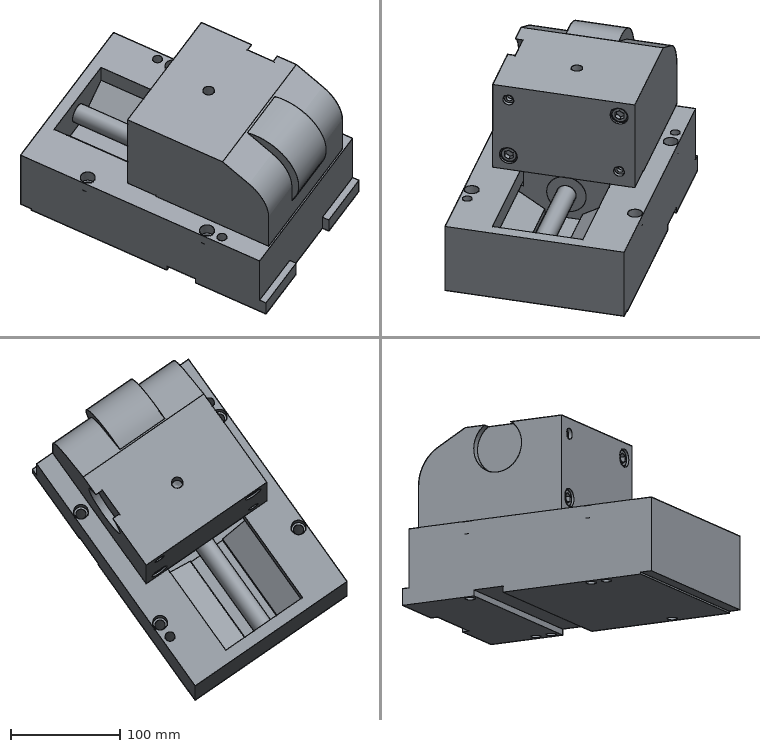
import cadquery as cq
import math


total_length = 260.0
total_width = 170.0
total_height = 165.0

base_length = 253.2
base_height = 71.5
end_wall = 11.2
flange_height = 15.9
flange_gap_width = 59.8
front_relief_height = 1.8
key_slot_start = 155.0
key_slot_length = 30.2
key_slot_height = 5.7

pocket_width = 85.8
ledge_z = 53.3
slope_bottom_z = 38.0
gutter_z = 32.0
gutter_width = 36.0
channel_width = 114.5
channel_floor_z = 13.0

mount_y = 77.5
bolt_offset_x = 63.2
bolt_hole_diameter = 9.4
bolt_head_diameter = 13.5
bolt_head_depth = 11.7
dowel_offset_x = 79.0
dowel_diameter = 8.8

jaw_start = 103.2
jaw_end = 252.7
jaw_width = 135.0
jaw_bottom_z = 74.0
jaw_slope_start = 203.8
jaw_slope_angle = 28.0
jaw_corner_radius = 39.0
front_lip_z = 75.1

side_recess_x = 170.0
side_recess_radius = 25.0
side_recess_depth = 7.3
side_recess_top_opening = 27.0

nose_radius = 45.0
nose_width = 50.2

slide_start = 112.8
slide_end = 241.3
slide_neck_start = 133.0
slide_front_width = 81.6
slide_neck_width = 83.7
slide_front_top_z = 73.3

top_hole_x = 150.0
top_hole_diameter = 10.5
top_hole_depth = 15.5
drill_point_angle = 118.0

face_hole_y = 52.5
face_hole_low_z = 90.2
face_hole_high_z = 150.5
screw_bore_diameter = 17.0
screw_bore_depth = 2.5
screw_head_depth = 1.5
screw_head_top_diameter = 14.0
screw_hex_flats = 8.3
screw_hex_depth = 6.5
pin_bore_diameter = 10.1
pin_bore_depth = 3.6
pin_hole_diameter = 6.0
pin_hole_depth = 7.8

spindle_z = 51.0
spindle_diameter = 18.5
collar_diameter = 37.5


def box(x_start, x_end, width, z_start, z_end):
    """Box centred on Y = 0."""
    size = (x_end - x_start, width, z_end - z_start)
    return cq.Workplane("XY").box(*size, centered=(False, True, False)).translate((x_start, 0, z_start))


def rod_along_x(x_start, x_end, diameter):
    """Cylinder on the spindle axis."""
    plane = cq.Workplane("YZ", origin=(x_start, 0, spindle_z))
    return plane.circle(diameter / 2).extrude(x_end - x_start)


def drilled_hole(diameter, depth):
    """Cutter for a hole with a conical end, entering along +X from the origin."""
    radius = diameter / 2
    tip_length = radius / math.tan(math.radians(drill_point_angle / 2))
    outline = [(0, 0), (0, radius), (depth, radius), (depth + tip_length, 0)]
    return cq.Workplane("XY").polyline(outline).close().revolve(360, (0, 0, 0), (1, 0, 0))


def pocket_cutter():
    """Open pocket with sloping sides that lead down to a flat gutter."""
    half_top = pocket_width / 2
    half_gutter = gutter_width / 2
    outline = [
        (-half_top, base_height),
        (-half_top, ledge_z),
        (-half_gutter, slope_bottom_z),
        (-half_gutter, gutter_z),
        (half_gutter, gutter_z),
        (half_gutter, slope_bottom_z),
        (half_top, ledge_z),
        (half_top, base_height),
    ]
    plane = cq.Workplane("YZ", origin=(end_wall, 0, 0))
    return plane.polyline(outline).close().extrude(jaw_start - end_wall)


def channel_cutter():
    """T-shaped channel that holds the slide below the pocket ledges."""
    channel_end = base_length - end_wall
    upper = box(jaw_start, channel_end, pocket_width, channel_floor_z, base_height)
    lower = box(jaw_start, channel_end, channel_width, channel_floor_z, ledge_z)
    return upper.union(lower)


def make_base():
    body = box(0, base_length, total_width, 0, base_height)

    flange = box(base_length, total_length, total_width, 0, flange_height)
    flange_gap = box(base_length, total_length, flange_gap_width, 0, flange_height)
    body = body.union(flange.cut(flange_gap))

    body = body.cut(box(0, end_wall, total_width, 0, front_relief_height))
    key_slot_end = key_slot_start + key_slot_length
    body = body.cut(box(key_slot_start, key_slot_end, total_width, 0, key_slot_height))

    body = body.cut(pocket_cutter()).cut(channel_cutter())

    middle_x = total_length / 2
    bolt_points = [(middle_x + sx * bolt_offset_x, sy * mount_y) for sx in (-1, 1) for sy in (-1, 1)]
    dowel_points = [(middle_x + side * dowel_offset_x, -side * mount_y) for side in (-1, 1)]
    top = cq.Workplane("XY", origin=(0, 0, base_height))
    bolts = top.pushPoints(bolt_points).circle(bolt_hole_diameter / 2).extrude(-base_height)
    heads = top.pushPoints(bolt_points).circle(bolt_head_diameter / 2).extrude(-bolt_head_depth)
    dowels = top.pushPoints(dowel_points).circle(dowel_diameter / 2).extrude(-base_height)
    return body.cut(bolts).cut(heads).cut(dowels)


def jaw_block():
    """Jaw with a sloping rear top edge that rounds into the rear face."""
    angle = math.radians(jaw_slope_angle)
    arc_x = jaw_end - jaw_corner_radius
    tangent_x = arc_x + jaw_corner_radius * math.sin(angle)
    tangent_z = total_height - (tangent_x - jaw_slope_start) * math.tan(angle)
    arc_z = tangent_z - jaw_corner_radius * math.cos(angle)
    middle_angle = (angle + math.pi / 2) / 2
    arc_middle = (
        arc_x + jaw_corner_radius * math.sin(middle_angle),
        arc_z + jaw_corner_radius * math.cos(middle_angle),
    )
    profile = (
        cq.Workplane("XZ", origin=(0, jaw_width / 2, 0))
        .moveTo(jaw_start, front_lip_z)
        .lineTo(jaw_start, total_height)
        .lineTo(jaw_slope_start, total_height)
        .lineTo(tangent_x, tangent_z)
        .threePointArc(arc_middle, (jaw_end, arc_z))
        .lineTo(jaw_end, jaw_bottom_z)
        .lineTo(slide_neck_start, jaw_bottom_z)
        .lineTo(slide_neck_start, front_lip_z)
        .close()
    )
    return profile.extrude(jaw_width)


def jaw_nose():
    """Round nose tangent to the top of the jaw."""
    centre = (total_length - nose_radius, nose_width / 2, total_height - nose_radius)
    return cq.Workplane("XZ", origin=centre).circle(nose_radius).extrude(nose_width)


def jaw_slide():
    """T-shaped slide that fills the channel, with a neck up to the jaw."""
    foot = box(slide_start, slide_end, channel_width, channel_floor_z, ledge_z)
    front = box(slide_start, slide_neck_start, slide_front_width, ledge_z, slide_front_top_z)
    neck = box(slide_neck_start, slide_end, slide_neck_width, ledge_z, jaw_bottom_z)
    return foot.union(front).union(neck)


def socket_screw_cutter():
    """Recess around a chamfered screw head with a hexagon socket, entering along +X."""
    bore_radius = screw_bore_diameter / 2
    head_radius = screw_head_top_diameter / 2
    outline = [
        (0, 0),
        (0, bore_radius),
        (screw_bore_depth, bore_radius),
        (screw_head_depth, head_radius),
        (screw_head_depth, 0),
    ]
    recess = cq.Workplane("XY").polyline(outline).close().revolve(360, (0, 0, 0), (1, 0, 0))
    hex_corners = screw_hex_flats / math.cos(math.pi / 6)
    socket = cq.Workplane("YZ").polygon(6, hex_corners).extrude(screw_hex_depth)
    return recess.union(socket.rotate((0, 0, 0), (1, 0, 0), 30))


def pin_hole_cutter():
    """Counterbored small hole, entering along +X."""
    bore = cq.Workplane("YZ").circle(pin_bore_diameter / 2).extrude(pin_bore_depth)
    return bore.union(drilled_hole(pin_hole_diameter, pin_hole_depth))


def side_recess_cutter():
    """Shallow disc sunk into the +Y face, high enough to open a short slot in the top face."""
    centre_drop = math.sqrt(side_recess_radius**2 - (side_recess_top_opening / 2) ** 2)
    centre = (side_recess_x, jaw_width / 2, total_height - centre_drop)
    return cq.Workplane("XZ", origin=centre).circle(side_recess_radius).extrude(side_recess_depth)


def make_jaw():
    body = jaw_block().union(jaw_nose()).union(jaw_slide())
    body = body.cut(side_recess_cutter())

    top_hole = drilled_hole(top_hole_diameter, top_hole_depth).rotate((0, 0, 0), (0, 1, 0), 90)
    body = body.cut(top_hole.translate((top_hole_x, 0, total_height)))

    for side, screw_z, pin_z in (
        (-1, face_hole_high_z, face_hole_low_z),
        (1, face_hole_low_z, face_hole_high_z),
    ):
        body = body.cut(socket_screw_cutter().translate((jaw_start, side * face_hole_y, screw_z)))
        body = body.cut(pin_hole_cutter().translate((jaw_start, side * face_hole_y, pin_z)))

    return body.cut(rod_along_x(slide_start, slide_end, collar_diameter))


def make_spindle():
    """Plain shaft from the end wall, with a collar that fills the bore of the slide."""
    shaft = rod_along_x(end_wall, slide_start, spindle_diameter)
    collar = rod_along_x(slide_start, slide_end, collar_diameter)
    return shaft.union(collar)


base = make_base()
jaw = make_jaw()
spindle = make_spindle()

result = cq.Compound.makeCompound([base.val(), jaw.val(), spindle.val()])